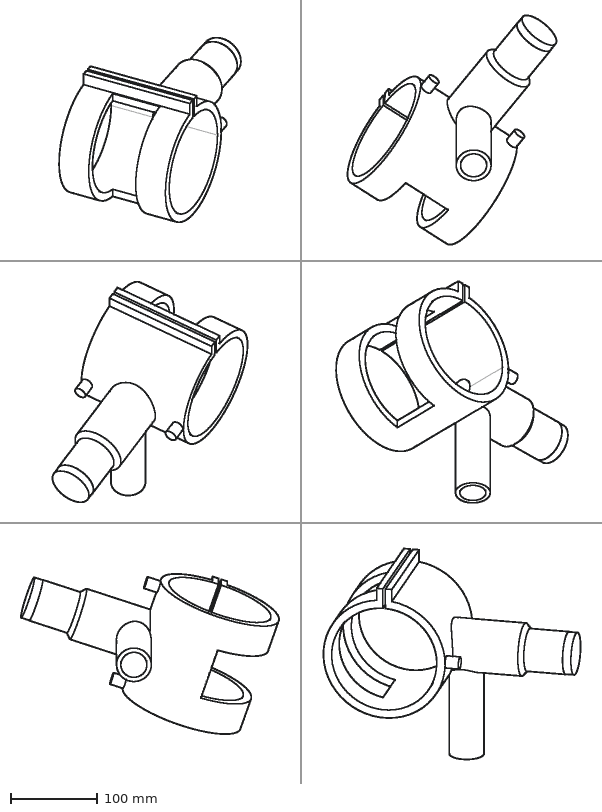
import cadquery as cq

ring_width = 138.0
ring_outer_radius = 72.5
ring_inner_radius = 62.5

lug_top = 86.7
lug_half_span = 9.0
split_gap = 3.0

window_width = 60.8
window_back = -10.5

neck_radius = 31.0
spigot_radius = 25.0
shoulder_start = 150.0
shoulder_end = 155.8
spigot_end = 202.0

cap_radius = 24.7
cap_end = 211.8

branch_radius = 20.2
branch_y = 82.0
branch_bottom = -134.2

passage_radius = 15.0

pin_radius = 7.0
pin_offset = 61.0
pin_end = 88.1


def y_cylinder(radius, y_start, y_end, x=0.0):
    """Cylinder along +Y at height zero."""
    return cq.Workplane(cq.Solid.makeCylinder(
        radius, y_end - y_start, cq.Vector(x, y_start, 0), cq.Vector(0, 1, 0)))


def x_cylinder(radius):
    """Cylinder across the ring width, on the ring axis."""
    return cq.Workplane("YZ", origin=(-ring_width / 2, 0, 0)).circle(radius).extrude(ring_width)


def block(width, y_start, y_end, z_start, z_end):
    """Rectangular block centred on X = 0."""
    return cq.Workplane("XY").box(
        width, y_end - y_start, z_end - z_start, centered=(True, False, False)
    ).translate((0, y_start, z_start))


def branch_cylinder(radius):
    """Vertical cylinder from the branch mouth up to the neck axis."""
    return cq.Workplane("XY", origin=(0, branch_y, branch_bottom)).circle(radius).extrude(-branch_bottom)


def make_neck():
    """Neck, conical shoulder and spigot as one turned shape."""
    return (
        cq.Workplane("XY")
        .moveTo(0, 0)
        .lineTo(neck_radius, 0)
        .lineTo(neck_radius, shoulder_start)
        .lineTo(spigot_radius, shoulder_end)
        .lineTo(spigot_radius, spigot_end)
        .lineTo(0, spigot_end)
        .close()
        .revolve(360, (0, 0, 0), (0, 1, 0))
    )


def make_housing():
    """Clamp ring with lugs, neck, branch pipe and pins."""
    body = x_cylinder(ring_outer_radius)
    body = body.union(block(ring_width, -lug_half_span, lug_half_span, 0, lug_top))
    body = body.union(make_neck())
    body = body.union(branch_cylinder(branch_radius))
    for side in (-1, 1):
        body = body.union(y_cylinder(pin_radius, 0, pin_end, side * pin_offset))

    body = body.cut(x_cylinder(ring_inner_radius))
    body = body.cut(block(ring_width, -split_gap / 2, split_gap / 2, 0, lug_top))
    body = body.cut(block(window_width, -ring_outer_radius, window_back,
                          -ring_outer_radius, ring_outer_radius))
    body = body.cut(y_cylinder(passage_radius, 0, spigot_end))
    return body.cut(branch_cylinder(passage_radius))


def make_cap():
    """Disc on the end of the spigot, closing the passage."""
    return y_cylinder(cap_radius, spigot_end, cap_end)


housing = make_housing()
cap = make_cap()
result = cq.Compound.makeCompound([housing.solids().val(), cap.val()])